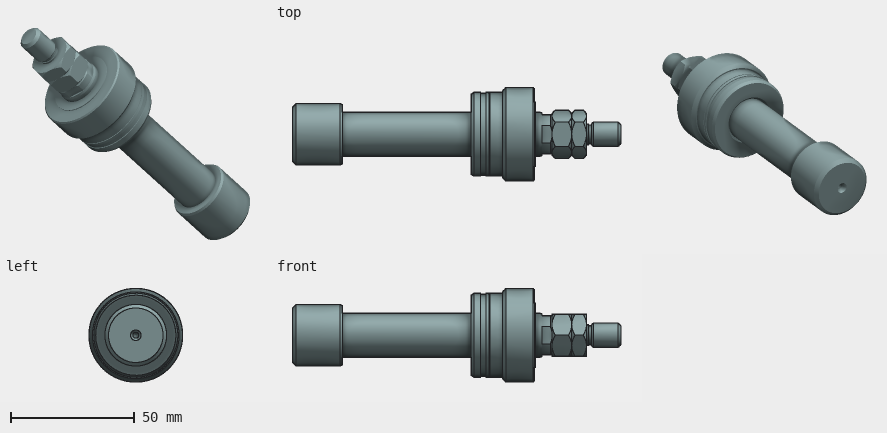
import cadquery as cq

OVERALL_LENGTH = 133.0

HEAD_RADIUS = 12.5
HEAD_END = 20.2
HEAD_FRONT_CHAMFER = 1.5
HEAD_REAR_CHAMFER_LENGTH = 0.9
HEAD_REAR_CHAMFER_DEPTH = 0.5
SHANK_DIAMETER = 18.0
SHANK_RADIUS = SHANK_DIAMETER / 2
SHANK_END = 101.1
SHANK_CHAMFER_LENGTH = 1.0
SPIGOT_DIAMETER = 17.3
SPIGOT_RADIUS = SPIGOT_DIAMETER / 2
SPIGOT_END = 105.1
SPIGOT_CHAMFER = 0.7
FLAT_SPACING = 15.8
FLAT_COUNT = 4

CENTRE_MOUTH_RADIUS = 2.1
CENTRE_HOLE_RADIUS = 1.2
CENTRE_CONE_DEPTH = 1.9
CENTRE_HOLE_DEPTH = 5.3
CENTRE_TIP_LENGTH = 0.7

COLLAR_START = 72.4
BARREL_RADIUS = 17.0
BARREL_CHAMFER_LENGTH = 1.2
BARREL_CHAMFER_DEPTH = 0.8
BORE_CHAMFER = 0.9
GROOVE_DEPTH = 0.4
WIDE_GROOVE_START = 76.2
WIDE_GROOVE_END = 78.3
NARROW_GROOVE_START = 79.5
NARROW_GROOVE_END = 79.9
FLANGE_RADIUS = 19.0
FLANGE_START = 85.0
FLANGE_FRONT_CHAMFER = 1.5
FLANGE_END = 97.9
FLANGE_REAR_CHAMFER = 0.5
BOSS_RADIUS = 13.0
BOSS_END = 98.3

HEX_SIDES = 6
HEX_ACROSS_FLATS = 17.0
HEX_JOINT = 113.0
HEX_END = 119.0
LIP_RADIUS = 4.3
LIP_END = 119.8
RELIEF_RADIUS = 3.9
RELIEF_END = 121.0
STUD_DIAMETER = 10.0
STUD_RADIUS = STUD_DIAMETER / 2
STUD_FRONT_CHAMFER = 0.8
STUD_END_CHAMFER = 1.2


def revolve_profile(points):
    """Turn a closed (x, radius) outline about the X axis."""
    return cq.Workplane("XY").polyline(points).close().revolve(360, (0, 0, 0), (1, 0, 0))


def cylinder(start, end, radius):
    """Solid cylinder on the X axis."""
    return cq.Workplane("YZ", origin=(start, 0, 0)).circle(radius).extrude(end - start)


def ring(start, end, inner_radius, outer_radius):
    """Hollow cylinder on the X axis."""
    return cylinder(start, end, outer_radius).cut(cylinder(start, end, inner_radius))


def make_centre_hole():
    """Drilled hole with a conical mouth and a conical tip, entering the head."""
    return revolve_profile([
        (0, 0),
        (0, CENTRE_MOUTH_RADIUS),
        (CENTRE_CONE_DEPTH, CENTRE_HOLE_RADIUS),
        (CENTRE_HOLE_DEPTH, CENTRE_HOLE_RADIUS),
        (CENTRE_HOLE_DEPTH + CENTRE_TIP_LENGTH, 0),
    ])


def make_pin():
    """Turned pin with four wrench flats on its spigot and a centre hole in its head."""
    pin_body = revolve_profile([
        (0, 0),
        (0, HEAD_RADIUS - HEAD_FRONT_CHAMFER),
        (HEAD_FRONT_CHAMFER, HEAD_RADIUS),
        (HEAD_END - HEAD_REAR_CHAMFER_LENGTH, HEAD_RADIUS),
        (HEAD_END, HEAD_RADIUS - HEAD_REAR_CHAMFER_DEPTH),
        (HEAD_END, SHANK_RADIUS),
        (SHANK_END - SHANK_CHAMFER_LENGTH, SHANK_RADIUS),
        (SHANK_END, SPIGOT_RADIUS),
        (SPIGOT_END - SPIGOT_CHAMFER, SPIGOT_RADIUS),
        (SPIGOT_END, SPIGOT_RADIUS - SPIGOT_CHAMFER),
        (SPIGOT_END, 0),
    ])
    spigot_length = SPIGOT_END - SHANK_END
    flat_cutter = (
        cq.Workplane("XY", origin=(SHANK_END, 0, FLAT_SPACING / 2))
        .box(spigot_length, 2 * SPIGOT_RADIUS, SPIGOT_RADIUS, centered=(False, True, False))
    )
    for index in range(FLAT_COUNT):
        angle = index * 360 / FLAT_COUNT
        pin_body = pin_body.cut(flat_cutter.rotate((0, 0, 0), (1, 0, 0), angle))
    return pin_body.cut(make_centre_hole())


def make_collar():
    """Stepped collar that fits on the shank, with two grooves round its barrel."""
    body = revolve_profile([
        (COLLAR_START + BORE_CHAMFER, SHANK_RADIUS),
        (COLLAR_START, SHANK_RADIUS + BORE_CHAMFER),
        (COLLAR_START, BARREL_RADIUS - BARREL_CHAMFER_DEPTH),
        (COLLAR_START + BARREL_CHAMFER_LENGTH, BARREL_RADIUS),
        (FLANGE_START, BARREL_RADIUS),
        (FLANGE_START, FLANGE_RADIUS - FLANGE_FRONT_CHAMFER),
        (FLANGE_START + FLANGE_FRONT_CHAMFER, FLANGE_RADIUS),
        (FLANGE_END - FLANGE_REAR_CHAMFER, FLANGE_RADIUS),
        (FLANGE_END, FLANGE_RADIUS - FLANGE_REAR_CHAMFER),
        (FLANGE_END, BOSS_RADIUS),
        (BOSS_END, BOSS_RADIUS),
        (BOSS_END, SHANK_RADIUS),
    ])
    grooves = ((WIDE_GROOVE_START, WIDE_GROOVE_END), (NARROW_GROOVE_START, NARROW_GROOVE_END))
    for start, end in grooves:
        body = body.cut(ring(start, end, BARREL_RADIUS - GROOVE_DEPTH, FLANGE_RADIUS))
    return body


def make_hexagon(start, end):
    """Hexagonal prism with flats on top and bottom, its corners bevelled at 45 degrees at both ends."""
    face_radius = HEX_ACROSS_FLATS / 2
    middle = (start + end) / 2
    prism = (
        cq.Workplane("YZ", origin=(start, 0, 0))
        .polygon(HEX_SIDES, HEX_ACROSS_FLATS, circumscribed=True)
        .extrude(end - start)
        .rotate((0, 0, 0), (1, 0, 0), 180 / HEX_SIDES)
    )
    bevel = revolve_profile([
        (start, 0),
        (start, face_radius),
        (middle, face_radius + middle - start),
        (end, face_radius),
        (end, 0),
    ])
    return prism.intersect(bevel)


def make_fitting():
    """Double hexagon against the spigot, carrying a relieved stud."""
    stud = revolve_profile([
        (HEX_END, 0),
        (HEX_END, LIP_RADIUS),
        (LIP_END, LIP_RADIUS),
        (LIP_END, RELIEF_RADIUS),
        (RELIEF_END, RELIEF_RADIUS),
        (RELIEF_END, STUD_RADIUS - STUD_FRONT_CHAMFER),
        (RELIEF_END + STUD_FRONT_CHAMFER, STUD_RADIUS),
        (OVERALL_LENGTH - STUD_END_CHAMFER, STUD_RADIUS),
        (OVERALL_LENGTH, STUD_RADIUS - STUD_END_CHAMFER),
        (OVERALL_LENGTH, 0),
    ])
    front_hexagon = make_hexagon(SPIGOT_END, HEX_JOINT)
    rear_hexagon = make_hexagon(HEX_JOINT, HEX_END)
    return front_hexagon.union(rear_hexagon).union(stud)


pin = make_pin()
collar = make_collar()
fitting = make_fitting()

result = cq.Compound.makeCompound([pin.val(), collar.val(), fitting.val()])